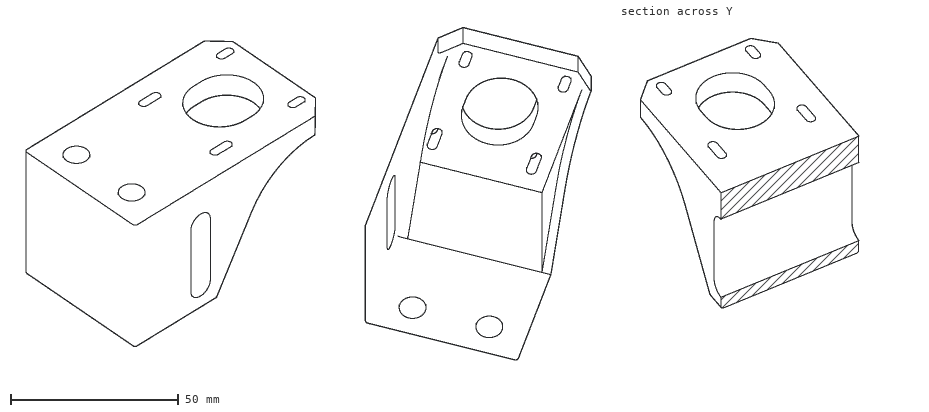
import cadquery as cq
import math

width = 48.0
length = 80.0
height = 48.0
plate_thickness = 8.0

tip_length = 6.0
foot_length = 34.0
flank_angle = math.radians(60)

corner_chamfer = 6.0
edge_fillet = 1.0

gusset_thickness = 3.0
bay_width = width - 2 * gusset_thickness
bay_start_y = foot_length

opening_width = 22.0
opening_length = 25.0
opening_y = 59.0

slot_width = 3.0
slot_x = 15.5
rear_slot_y = 74.5
rear_slot_length = 6.0
inner_slot_y = 43.5
inner_slot_length = 8.0

bolt_diameter = 8.0
bolt_x = 12.0
bolt_y = 10.0

side_slot_width = 8.0
side_slot_length = 32.0
side_slot_y = 27.0
side_slot_z = -27.0


def bracket_body():
    """Side profile extruded across the width, with rounded outer edges and cut tip corners."""
    arc_start_y = length - tip_length
    flank_run = arc_start_y - foot_length
    flank_drop = height - plate_thickness
    radius = (flank_run * math.tan(flank_angle) - flank_drop) / (1 / math.cos(flank_angle) - 1)

    def arc_point(angle):
        y = arc_start_y - radius * math.sin(angle)
        z = -plate_thickness - radius * (1 - math.cos(angle))
        return y, z

    body = (
        cq.Workplane("YZ")
        .moveTo(0, 0)
        .lineTo(length, 0)
        .lineTo(length, -plate_thickness)
        .lineTo(arc_start_y, -plate_thickness)
        .threePointArc(arc_point(flank_angle / 2), arc_point(flank_angle))
        .lineTo(foot_length, -height)
        .lineTo(0, -height)
        .close()
        .extrude(width / 2, both=True)
    )
    rounded_edges = "(<X or >X or (<Y and <Z)) and (not >Z) and (not >Y)"
    body = body.edges(rounded_edges).fillet(edge_fillet)
    return body.intersect(plate_outline())


def plate_outline():
    """Full-height prism of the plan outline with the tip corners cut at 45 degrees."""
    return (
        cq.Workplane("XY")
        .rect(width, 2 * length)
        .extrude(-height)
        .edges("|Z and >Y")
        .chamfer(corner_chamfer)
    )


def motor_bay():
    """Space below the plate, running out through the back and the bottom."""
    return cq.Workplane("XY").box(
        bay_width,
        length - bay_start_y,
        height - plate_thickness,
        centered=(True, False, False),
    ).translate((0, bay_start_y, -height))


def plate_slot(slot_length, slot_span, x, y):
    """Round-ended vertical cutter, long in Y."""
    return cq.Workplane("XY").center(x, y).slot2D(slot_length, slot_span, 90).extrude(-height)


def bolt_hole(x):
    """Vertical hole through the full height of the front block."""
    return cq.Workplane("XY").center(x, bolt_y).circle(bolt_diameter / 2).extrude(-height)


def side_slot():
    """Round-ended slot, long in Z, through the whole width."""
    return (
        cq.Workplane("YZ")
        .center(side_slot_y, side_slot_z)
        .slot2D(side_slot_length, side_slot_width, 90)
        .extrude(width / 2, both=True)
    )


result = bracket_body().cut(motor_bay())
result = result.cut(plate_slot(opening_length, opening_width, 0, opening_y))
for side in (-1, 1):
    result = result.cut(plate_slot(rear_slot_length, slot_width, side * slot_x, rear_slot_y))
    result = result.cut(plate_slot(inner_slot_length, slot_width, side * slot_x, inner_slot_y))
    result = result.cut(bolt_hole(side * bolt_x))
result = result.cut(side_slot())